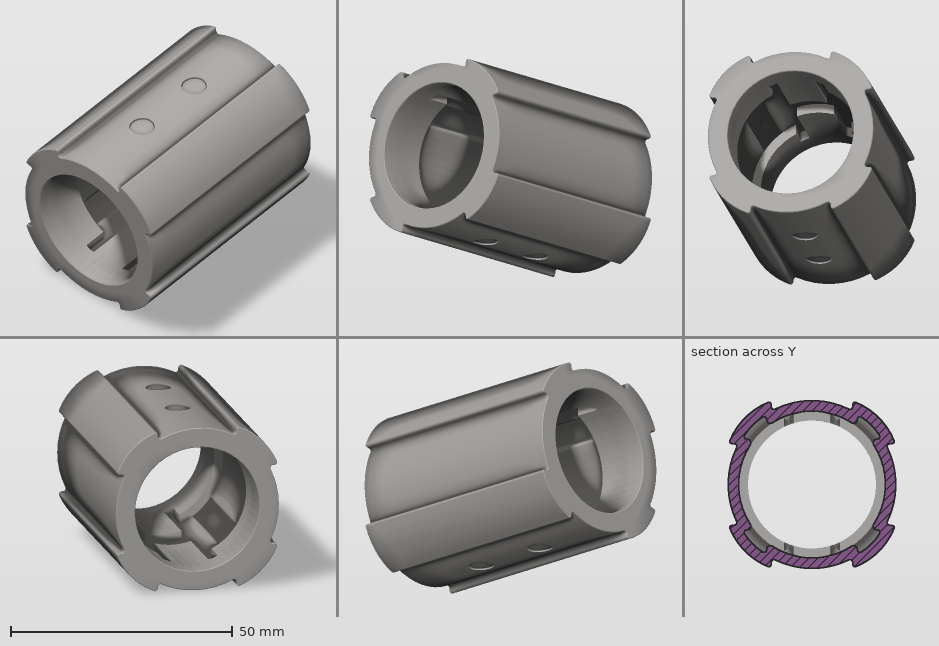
import cadquery as cq
import math

LENGTH = 55.0
FLANGE_THICKNESS = 2.0

BASE_RADIUS = 19.0
LOBE_CREST = 21.4
LOBE_RADIUS = 16.0
STEP_HALF_WIDTH = 9.0
FLANK_LEAN = 0.3
STEP_FILLET = 0.55
TIP_FILLET = 0.55

WALL = 2.5
CAVITY_RADIUS = BASE_RADIUS - WALL
CAVITY_CREST = LOBE_CREST - WALL
CAVITY_LOBE_RADIUS = LOBE_RADIUS - WALL
CAVITY_STEP_HALF_WIDTH = 10.1
CAVITY_STEP_FILLET = 0.9

BORE_RADIUS = 14.45
PLUG_DEPTH = 12.55
EDGE_CHAMFER = 0.15
TONGUE_HALF_WIDTH = 4.25
TONGUE_DEPTH = 23.1
SLIT_WIDTH = 2.15
SLIT_CORNER_RADIUS = 0.45
SLIT_START = 6.6

BUTTON_SPACING = 18.05
HOLE_RADIUS = 2.85
BUTTON_RADIUS = 2.7
BUTTON_SINK = 0.35


def lobed_prism(base_radius, crest, lobe_radius, half_width, step_fillet, y_start, length):
    """Prism along +Y whose outline alternates base arcs and raised lobes."""
    step_height = math.sqrt(base_radius**2 - half_width**2)
    lobe_centre = (crest - lobe_radius) / math.sqrt(2)
    tip_half_width = half_width + FLANK_LEAN
    tip_height = lobe_centre + math.sqrt(lobe_radius**2 - (tip_half_width - lobe_centre) ** 2)
    crest_offset = crest / math.sqrt(2)

    def turned(x, z, quarter):
        for _ in range(quarter):
            x, z = z, -x
        return x, z

    outline = cq.Workplane("XZ", origin=(0, y_start, 0)).moveTo(-half_width, step_height)
    for quarter in range(4):
        outline = (
            outline.threePointArc(turned(0, base_radius, quarter), turned(half_width, step_height, quarter))
            .lineTo(*turned(tip_half_width, tip_height, quarter))
            .threePointArc(
                turned(crest_offset, crest_offset, quarter), turned(tip_height, tip_half_width, quarter)
            )
            .lineTo(*turned(step_height, half_width, quarter))
        )
    prism = outline.close().extrude(-length)

    reach = (step_height + tip_height) / 2
    feet = cq.selectors.BoxSelector((-reach, y_start, -reach), (reach, y_start + length, reach))
    tips = cq.selectors.SubtractSelector(cq.selectors.StringSyntaxSelector("|Y"), feet)
    return prism.edges(tips).fillet(TIP_FILLET).edges("|Y").edges(feet).fillet(step_fillet)


def outer_prism(y_start, length):
    return lobed_prism(
        BASE_RADIUS, LOBE_CREST, LOBE_RADIUS, STEP_HALF_WIDTH, STEP_FILLET, y_start, length
    )


def round_bar(radius, y_start, length):
    return cq.Workplane("XZ", origin=(0, y_start, 0)).circle(radius).extrude(-length)


def make_tube():
    """Lobed tube with two snap holes on top and two below."""
    y_start = -LENGTH / 2 + FLANGE_THICKNESS
    length = LENGTH - 2 * FLANGE_THICKNESS
    cavity = lobed_prism(
        CAVITY_RADIUS, CAVITY_CREST, CAVITY_LOBE_RADIUS, CAVITY_STEP_HALF_WIDTH, CAVITY_STEP_FILLET,
        y_start, length,
    )
    holes = (
        cq.Workplane("XY")
        .pushPoints([(0, -BUTTON_SPACING / 2), (0, BUTTON_SPACING / 2)])
        .circle(HOLE_RADIUS)
        .extrude(BASE_RADIUS + WALL, both=True)
    )
    return outer_prism(y_start, length).cut(cavity).cut(holes)


def make_buttons():
    """Upper and lower snap button: round posts whose tops follow the tube's curve, slightly sunk."""
    posts = (
        cq.Workplane("XY", origin=(0, -BUTTON_SPACING / 2, 0))
        .circle(BUTTON_RADIUS)
        .extrude(BASE_RADIUS, both=True)
    )
    return posts.intersect(round_bar(BASE_RADIUS - BUTTON_SINK, -LENGTH / 2, LENGTH))


def make_cap():
    """End cap for the -Y end of the tube."""
    face = -LENGTH / 2
    flange = outer_prism(face, FLANGE_THICKNESS).faces("<Y").edges().chamfer(EDGE_CHAMFER)
    plug = round_bar(CAVITY_RADIUS, face, PLUG_DEPTH)

    tongues = round_bar(CAVITY_RADIUS, face, TONGUE_DEPTH).intersect(
        cq.Workplane("XY").box(2 * TONGUE_HALF_WIDTH, 2 * LENGTH, 2 * LENGTH)
    )
    slit_centre = TONGUE_HALF_WIDTH + SLIT_WIDTH / 2
    slit_length = TONGUE_DEPTH - SLIT_START
    slits = (
        cq.Workplane("XY")
        .pushPoints([(side * slit_centre, face + SLIT_START + slit_length / 2) for side in (1, -1)])
        .rect(SLIT_WIDTH, slit_length)
        .extrude(CAVITY_RADIUS, both=True)
        .edges("|Z")
        .fillet(SLIT_CORNER_RADIUS)
    )
    bore = round_bar(BORE_RADIUS, face, TONGUE_DEPTH)
    cap = flange.union(plug.cut(slits)).union(tongues).union(make_buttons()).cut(bore)
    bore_mouth = cap.faces("<Y").val().innerWires()[0]
    return cap.newObject(bore_mouth.Edges()).chamfer(EDGE_CHAMFER)


tube = make_tube()
front_cap = make_cap()
rear_cap = front_cap.rotate((0, 0, 0), (0, 0, 1), 180)

result = cq.Compound.makeCompound([body.solids().val() for body in (tube, front_cap, rear_cap)])